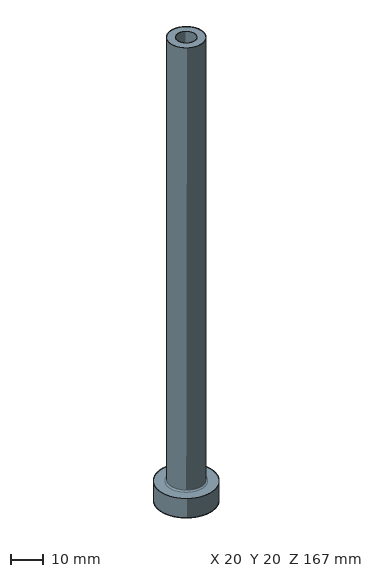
import cadquery as cq

total_length = 167.0
head_diameter = 20.0
head_height = 7.0
shaft_diameter = 12.0
bore_diameter = 6.5
neck_fillet_radius = 0.5

head = cq.Workplane("XY").circle(head_diameter / 2).extrude(head_height)
shaft = cq.Workplane("XY").circle(shaft_diameter / 2).extrude(total_length)
sleeve = head.union(shaft)

neck_edge = cq.selectors.RadiusNthSelector(0)
sleeve = sleeve.edges(cq.selectors.BoxSelector(
    (-shaft_diameter, -shaft_diameter, head_height - neck_fillet_radius),
    (shaft_diameter, shaft_diameter, head_height + neck_fillet_radius),
)).edges(neck_edge).fillet(neck_fillet_radius)

bore = cq.Workplane("XY").circle(bore_diameter / 2).extrude(total_length)
result = sleeve.cut(bore)